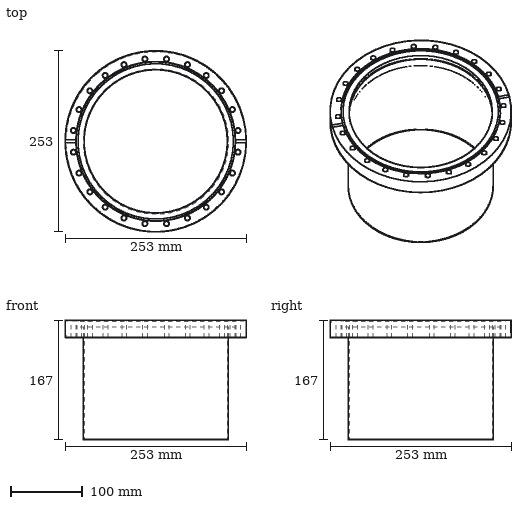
import cadquery as cq

total_height = 167.0
flange_diameter = 253.0
flange_height = 25.0
flange_chamfer = 1.0

seat_diameter = 223.0
insert_diameter = 222.1
bore_diameter = 199.9
knife_diameter = 216.8
insert_face_depth = 1.0
knife_rise = 0.5
knife_slope_drop = 1.0
insert_height = 8.3

tube_diameter = 203.0

bolt_count = 24
bolt_hole_diameter = 6.8
bolt_circle_diameter = 231.7

groove_width = 4.0
groove_depth = 0.8

flange_bottom = total_height - flange_height
insert_top = total_height - insert_face_depth
insert_bottom = insert_top - insert_height
knife_tip = insert_top + knife_rise


def disc(diameter, bottom, top):
    """Upright solid cylinder on the Z axis."""
    return cq.Workplane("XY").workplane(offset=bottom).circle(diameter / 2).extrude(top - bottom)


def bolt_holes():
    """Through holes, evenly spaced and straddling the X axis."""
    pitch = 360 / bolt_count
    return (
        cq.Workplane("XY")
        .workplane(offset=flange_bottom)
        .polarArray(bolt_circle_diameter / 2, pitch / 2, 360, bolt_count)
        .circle(bolt_hole_diameter / 2)
        .extrude(flange_height)
    )


def leak_grooves():
    """Round-bottomed channel along X; it meets the flange on both sides of the bore."""
    half_width = groove_width / 2
    radius = (half_width**2 + groove_depth**2) / (2 * groove_depth)
    axis_height = total_height + radius - groove_depth
    return (
        cq.Workplane("YZ")
        .center(0, axis_height)
        .circle(radius)
        .extrude(flange_diameter / 2, both=True)
    )


def make_flange():
    """Rotatable bolt ring: a wide seat for the insert above a lip that fits the tube."""
    flange = disc(flange_diameter, flange_bottom, total_height)
    flange = flange.faces("<Z").edges().chamfer(flange_chamfer)
    flange = flange.cut(disc(tube_diameter, flange_bottom, total_height))
    flange = flange.cut(disc(seat_diameter, insert_bottom, total_height))
    return flange.cut(bolt_holes()).cut(leak_grooves())


def make_insert():
    """Ring with a raised knife edge: upright on its inner side, sloping down outwards."""
    profile = [
        (bore_diameter / 2, insert_bottom),
        (insert_diameter / 2, insert_bottom),
        (insert_diameter / 2, knife_tip - knife_slope_drop),
        (knife_diameter / 2, knife_tip),
        (knife_diameter / 2, insert_top),
        (bore_diameter / 2, insert_top),
    ]
    return cq.Workplane("XZ").polyline(profile).close().revolve(360, (0, 0), (0, 1))


def make_tube():
    """Straight tube that butts against the underside of the insert."""
    return disc(tube_diameter, 0, insert_bottom).cut(disc(bore_diameter, 0, insert_bottom))


flange = make_flange()
insert = make_insert()
tube = make_tube()

result = cq.Compound.makeCompound([flange.val(), insert.val(), tube.val()])